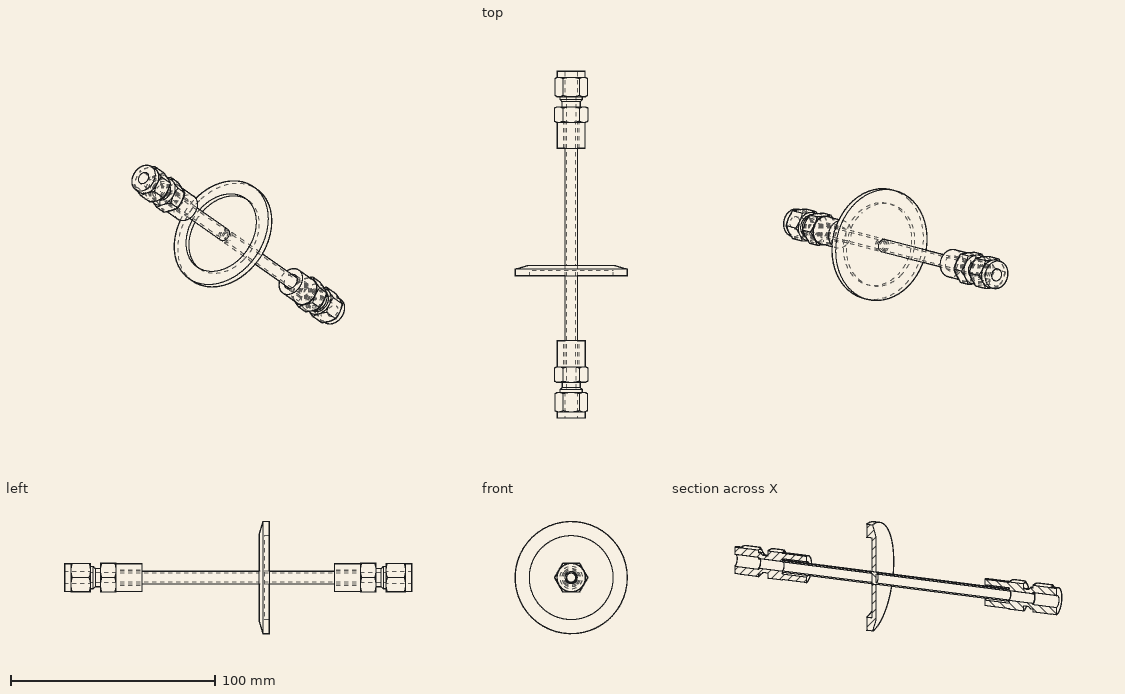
import cadquery as cq
import math

total_length = 170
half_length = total_length / 2

flange_diameter = 55.0
flange_front_y = -15.3
flange_thickness = 5.1
flange_rim_thickness = 3.2
flange_back_diameter = 42.5
recess_diameter = 41.1
recess_depth = 2.5

tube_diameter = 6.3
tube_bore_diameter = 4.5

cap_end = 3.0
nut_end = 12.5
collar_end = 14.0
neck_start = 15.0
body_hex_start = 17.5
body_hex_end = 25.2
fitting_length = 37.9

cap_diameter = 13.8
collar_diameter = 11.0
neck_diameter = 9.0
sleeve_diameter = 13.8
nut_across_flats = 14.0
body_across_flats = 14.3
hex_sides = 6
hex_chamfer_angle = 30

nut_bore_diameter = 6.0
nut_bore_depth = nut_end
passage_diameter = 4.8
socket_diameter = 7.6
socket_depth = fitting_length - body_hex_end


def revolve_about_y(profile):
    """Revolve a closed (radius, y) outline once around the Y axis."""
    return cq.Workplane("XY").polyline(profile).close().revolve(360, (0, 0, 0), (0, 1, 0))


def cylinder(diameter, start, end):
    """Round bar along Y between two positions."""
    radius = diameter / 2
    return revolve_about_y([(0, start), (radius, start), (radius, end), (0, end)])


def chamfered_hexagon(across_flats, start, end):
    """Hexagonal prism along Y, two flats facing +Z and -Z, corners bevelled at both ends."""
    end_radius = across_flats / 2
    corner_radius = end_radius / math.cos(math.pi / hex_sides)
    bevel_length = (corner_radius - end_radius) * math.tan(math.radians(hex_chamfer_angle))
    prism = (
        cq.Workplane("XZ", origin=(0, start, 0))
        .polygon(hex_sides, 2 * corner_radius)
        .extrude(-(end - start))
    )
    bevels = revolve_about_y([
        (0, start),
        (end_radius, start),
        (corner_radius, start + bevel_length),
        (corner_radius, end - bevel_length),
        (end_radius, end),
        (0, end),
    ])
    return prism.intersect(bevels)


def make_flange():
    """Disc with a conical back, a round recess in its front and a hole for the tube."""
    front = flange_front_y
    back = front + flange_thickness
    rim_back = front + flange_rim_thickness
    disc = revolve_about_y([
        (0, front),
        (flange_diameter / 2, front),
        (flange_diameter / 2, rim_back),
        (flange_back_diameter / 2, back),
        (0, back),
    ])
    recess = cylinder(recess_diameter, front, front + recess_depth)
    return disc.cut(recess).cut(cylinder(tube_diameter, front, back))


def make_tube():
    """Tube between the two socket floors, bored from both ends up to a wall inside the flange."""
    tube_end = half_length - fitting_length + socket_depth
    wall_front = flange_front_y + recess_depth
    wall_back = flange_front_y + flange_thickness
    return (
        cylinder(tube_diameter, -tube_end, tube_end)
        .cut(cylinder(tube_bore_diameter, -tube_end, wall_front))
        .cut(cylinder(tube_bore_diameter, wall_back, tube_end))
    )


def make_fitting():
    """Fitting with its outer end at y = 0, reaching along +Y."""
    round_parts = revolve_about_y([
        (0, 0),
        (cap_diameter / 2, 0),
        (cap_diameter / 2, cap_end),
        (collar_diameter / 2, cap_end),
        (collar_diameter / 2, collar_end),
        (neck_diameter / 2, neck_start),
        (neck_diameter / 2, body_hex_end),
        (sleeve_diameter / 2, body_hex_end),
        (sleeve_diameter / 2, fitting_length),
        (0, fitting_length),
    ])
    outside = (
        round_parts
        .union(chamfered_hexagon(nut_across_flats, cap_end, nut_end))
        .union(chamfered_hexagon(body_across_flats, body_hex_start, body_hex_end))
    )
    return (
        outside
        .cut(cylinder(nut_bore_diameter, 0, nut_bore_depth))
        .cut(cylinder(passage_diameter, 0, fitting_length))
        .cut(cylinder(socket_diameter, fitting_length - socket_depth, fitting_length))
    )


flange = make_flange()
tube = make_tube()

fittings = []
for turn in (0, 180):
    fitting = make_fitting().translate((0, -half_length, 0)).rotate((0, 0, 0), (0, 0, 1), turn)
    fittings.append(fitting.val())

result = cq.Compound.makeCompound([flange.val(), tube.val(), *fittings])